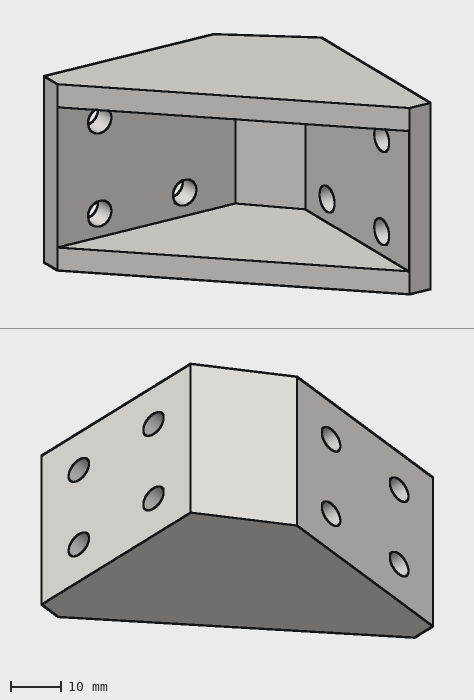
import cadquery as cq

width = 53.0
depth = 57.0
height = 40.0
wall = 4.95
back_wall = 5.1

corner_x = 13.0
corner_y = 17.0
inner_corner_leg = 10.05

hole_diameter = 5.5
hole_pitch = 20.0
hole_margin = 10.0


def bracket_body():
    """Solid corner block with a diagonal open side."""
    outline = [
        (0, 0),
        (wall, 0),
        (width, depth - wall),
        (width, depth),
        (corner_x, depth),
        (0, depth - corner_y),
    ]
    return cq.Workplane("XY").polyline(outline).close().extrude(height)


def pocket():
    """Space between the walls and flanges, open along the diagonal side."""
    back_y = depth - back_wall
    outline = [
        (wall, 0),
        (width, 0),
        (width, back_y),
        (wall + inner_corner_leg, back_y),
        (wall, back_y - inner_corner_leg),
    ]
    floor = cq.Workplane("XY").workplane(offset=wall)
    return floor.polyline(outline).close().extrude(height - 2 * wall)


def hole_pattern(plane, first_across, thickness):
    """Four pins normal to a wall, for cutting its holes."""
    across = (first_across, first_across + hole_pitch)
    up = (hole_margin, hole_margin + hole_pitch)
    centers = [(a, z) for a in across for z in up]
    return plane.pushPoints(centers).circle(hole_diameter / 2).extrude(thickness)


side_holes = hole_pattern(cq.Workplane("YZ"), hole_margin, wall)
back_plane = cq.Workplane("XZ", origin=(0, depth, 0))
back_holes = hole_pattern(back_plane, corner_x + hole_margin, back_wall)

result = bracket_body().cut(pocket()).cut(side_holes).cut(back_holes)